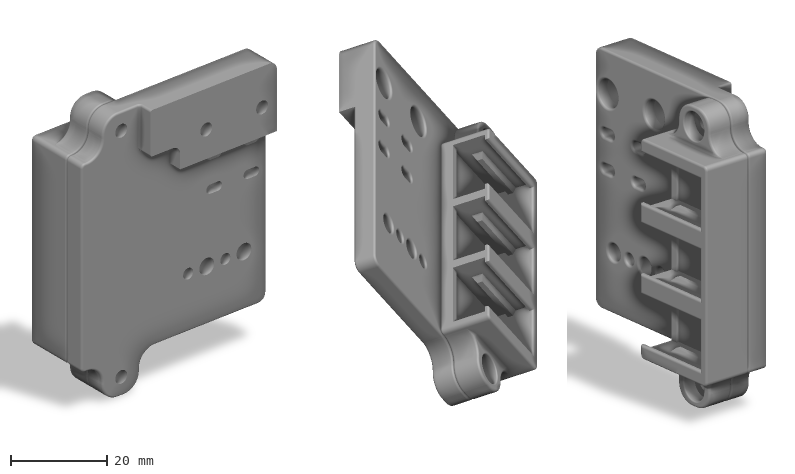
import cadquery as cq
import math


edge_round = 0.5
box_half_width = 10.65
box_half_height = 24.7
box_corner = 1.0
lug_half_width = 5.0
lug_corner = 4.2
lug_flare = 4.2
lug_length = 9.0
lug_flare_end = lug_half_width + lug_flare
top_z = box_half_height + lug_length
lug_hole_z = box_half_height + lug_length / 2
lug_hole = 3.2

box_depth = 11.55
lug_depth = 6.0
lug_head_hole = 6.5
lug_head_depth = 3.0
lug_head_round = 0.3

pocket_count = 3
pocket_pitch = 15.9
pocket_depth = 9.15
pocket_height = 14.0
pocket_end_y = -8.65
mouth_height = 11.5
mouth_lip = 0.9
sill_height = 0.6
sill_width = 1.6

ridge_height = 1.1
ridge_flank = 0.65
ridge_crest = 1.2
ridge_foot = ridge_crest + 2 * ridge_flank
ridge_setback = 4.1
ridge_start_y = 5.9

plate_depth = 5.0
plate_end_y = 39.0
plate_corner = 2.0

block_height = 3.5
full_depth = plate_depth + block_height
block_start_y = lug_half_width
block_step_y = 13.0
block_step_z = top_z - 11.0
block_bottom_z = top_z - 16.7
block_step_round = 2.0

mount_hole = 3.2
mount_head_hole = 6.5
mount_head_depth = 2.8
mount_hole_ys = (20.0, 35.0)
mount_hole_z = 24.0
slot_length = 4.2
slot_width = 2.2
slot_ys = (25.0, 35.0)
slot_zs = (7.0, 15.0)
hole_row_z = -11.0
large_hole = 4.0
large_hole_ys = (23.0, 33.0)
small_hole = 2.7
small_hole_ys = (18.0, 28.0)

clearance = 0.1
half_sine = math.sqrt(0.5)


def cuboid(x_range, y_range, z_range):
    """Block that fills the given ranges."""
    sizes = [end - start for start, end in (x_range, y_range, z_range)]
    corner = (x_range[0], y_range[0], z_range[0])
    return cq.Workplane("XY").box(*sizes, centered=False).translate(corner)


def inside(x_range, y_range, z_range):
    """Selector for what has its centre in the given ranges, or within the clearance of them."""
    ranges = (x_range, y_range, z_range)
    low = [start - clearance for start, end in ranges]
    high = [end + clearance for start, end in ranges]
    return cq.selectors.BoxSelector(low, high)


def lug(x_start, x_end, side):
    """Screw lug with flared roots, above (side = 1) or below (side = -1) the box."""
    root_z = box_half_height - box_corner
    flare_top_z = box_half_height + lug_flare
    arc_z = top_z - lug_corner
    arc_y = lug_half_width - lug_corner
    flare_middle = (lug_flare_end - lug_flare * half_sine, flare_top_z - lug_flare * half_sine)
    arc_middle = (arc_y + lug_corner * half_sine, arc_z + lug_corner * half_sine)

    def at(y, z):
        return (y, side * z)

    outline = (
        cq.Workplane("YZ", origin=(x_start, 0, 0))
        .moveTo(*at(0, root_z))
        .lineTo(*at(lug_flare_end, root_z))
        .lineTo(*at(lug_flare_end, box_half_height))
        .threePointArc(at(*flare_middle), at(lug_half_width, flare_top_z))
        .lineTo(*at(lug_half_width, arc_z))
        .threePointArc(at(*arc_middle), at(arc_y, top_z))
        .lineTo(*at(0, top_z))
    )
    return outline.mirrorY().extrude(x_end - x_start)


def x_bar(diameter, x_start, x_end, z):
    """Round bar along X, at Y = 0."""
    return cq.Workplane("YZ", origin=(x_start, 0, z)).circle(diameter / 2).extrude(x_end - x_start)


def bored(x_start, x_end, y, z, radius, mouth_radius):
    """Round hole along +X with a rounded mouth at x_start."""
    bend = mouth_radius * (1 - half_sine)
    profile = (
        cq.Workplane("XY", origin=(x_start, y, z))
        .lineTo(0, radius + mouth_radius)
        .threePointArc((bend, radius + bend), (mouth_radius, radius))
        .lineTo(x_end - x_start, radius)
        .lineTo(x_end - x_start, 0)
        .close()
    )
    return profile.revolve(360, (0, 0, 0), (1, 0, 0))


def snap_ridge(wall_z, rise):
    """Ridge on the pocket wall at wall_z, rising along +Z (rise = 1) or -Z (rise = -1)."""
    x_start = -box_depth + ridge_setback
    crest_z = rise * ridge_height
    bar = (
        cq.Workplane("XZ", origin=(x_start, ridge_start_y, wall_z))
        .lineTo(ridge_flank, crest_z)
        .lineTo(ridge_flank + ridge_crest, crest_z)
        .lineTo(ridge_foot, 0)
        .close()
        .extrude(ridge_start_y - pocket_end_y)
    )
    end_bevel = (
        cq.Workplane("YZ", origin=(x_start, ridge_start_y, wall_z))
        .lineTo(-ridge_height, crest_z)
        .lineTo(0, crest_z)
        .close()
        .extrude(ridge_foot)
    )
    return bar.cut(end_bevel)


def pocket_space(centre_z):
    """Space of one pocket: mouth between two lips, wider chamber, and a sill at the open side."""
    mouth_x = -box_depth + mouth_lip
    floor_x = -box_depth + pocket_depth
    open_y = box_half_width + clearance
    mouth_zs = (centre_z - mouth_height / 2, centre_z + mouth_height / 2)
    wall_zs = (centre_z - pocket_height / 2, centre_z + pocket_height / 2)
    mouth = cuboid((-box_depth, mouth_x), (pocket_end_y, open_y), mouth_zs)
    chamber = cuboid((mouth_x, floor_x - sill_height), (pocket_end_y, open_y), wall_zs)
    floor_ys = (pocket_end_y, box_half_width - sill_width)
    floor = cuboid((floor_x - sill_height, floor_x), floor_ys, wall_zs)
    space = mouth.union(chamber).union(floor)
    for wall_z, rise in zip(wall_zs, (1, -1)):
        space = space.cut(snap_ridge(wall_z, rise))
    return space


def make_connector_box():
    width = (-box_half_width, box_half_width)
    height = (-box_half_height, box_half_height)
    body = cuboid((-box_depth, 0), width, height).edges("|X").fillet(box_corner)

    for side, root in ((1, "<Z"), (-1, ">Z")):
        ear = lug(-lug_depth, 0, side)
        body = body.union(ear.faces("<X").edges("not " + root).fillet(edge_round))

    for index in range(pocket_count):
        centre_z = (index - (pocket_count - 1) / 2) * pocket_pitch
        body = body.cut(pocket_space(centre_z))

    body = body.faces("<X").edges().fillet(edge_round)
    body = body.faces(">X").edges().fillet(edge_round)
    lug_roots = inside((-lug_depth, -lug_depth), (0, 0), height)
    body = body.edges("|Y").edges(lug_roots).fillet(edge_round)

    head_end = -lug_depth + lug_head_depth
    for z in (-lug_hole_z, lug_hole_z):
        body = body.cut(x_bar(lug_hole, -lug_depth, 0, z))
        body = body.cut(bored(-lug_depth, head_end, 0, z, lug_head_hole / 2, lug_head_round))
    return body


def raised_block():
    """Block on the plate's back, with rounded step corners."""
    block = (
        cq.Workplane("YZ", origin=(plate_depth, 0, 0))
        .moveTo(block_start_y, top_z)
        .lineTo(plate_end_y, top_z)
        .lineTo(plate_end_y, block_bottom_z)
        .lineTo(block_step_y, block_bottom_z)
        .lineTo(block_step_y, block_step_z)
        .lineTo(block_start_y, block_step_z)
        .close()
        .extrude(block_height)
    )
    block = block.edges("|X and >Y and >Z").fillet(plate_corner)
    block_depth = (plate_depth, full_depth)
    step = inside(block_depth, (block_step_y, block_step_y), (block_step_z, block_step_z))
    return block.edges("|X").edges(step).fillet(block_step_round)


def mount_screw_hole(y):
    """Mounting screw hole: rounded head hole, 45 degree cone, screw hole."""
    head = mount_head_hole / 2
    screw = mount_hole / 2
    cone_end = mount_head_depth + head - screw
    hole = bored(0, mount_head_depth, y, mount_hole_z, head, edge_round)
    profile = (
        cq.Workplane("XY", origin=(0, y, mount_hole_z))
        .lineTo(0, head)
        .lineTo(mount_head_depth, head)
        .lineTo(cone_end, screw)
        .lineTo(full_depth, screw)
        .lineTo(full_depth, 0)
        .close()
    )
    return hole.union(profile.revolve(360, (0, 0, 0), (1, 0, 0)))


def make_plate():
    back = (plate_depth, plate_depth)
    panel = cuboid((0, plate_depth), (0, plate_end_y), (-box_half_height, top_z))
    panel = panel.edges("|X and >Y").fillet(plate_corner)
    height = (-box_half_height, box_half_height)
    behind_box = cuboid((0, plate_depth), (-box_half_width, box_half_width), height)
    body = panel.union(behind_box.edges("|X and <Y").fillet(box_corner))
    for side in (1, -1):
        body = body.union(lug(0, plate_depth, side))
    body = body.union(raised_block()).clean()

    block_side = inside(back, (block_start_y, block_start_y), (block_step_z, top_z))
    body = body.edges("|Z").edges(block_side).fillet(edge_round)
    body = body.faces("<X").edges().fillet(edge_round)
    block_ys = (block_start_y - edge_round, plate_end_y - plate_corner)
    around_block = inside(back, block_ys, (block_bottom_z, top_z))
    whole_back = inside(back, (-box_half_width, plate_end_y), (-top_z, top_z))
    back_edges = body.faces(whole_back).edges()
    body = back_edges.edges(whole_back - around_block).fillet(edge_round)
    block_corner = inside(
        (plate_depth + edge_round, full_depth - edge_round),
        (block_start_y, block_start_y),
        (block_step_z, block_step_z),
    )
    body = body.edges("|X").edges(block_corner).fillet(edge_round)

    for z in (-lug_hole_z, lug_hole_z):
        body = body.cut(x_bar(lug_hole, 0, plate_depth, z))

    for y in mount_hole_ys:
        body = body.cut(mount_screw_hole(y))

    for diameter, ys in ((large_hole, large_hole_ys), (small_hole, small_hole_ys)):
        for y in ys:
            body = body.cut(bored(0, full_depth, y, hole_row_z, diameter / 2, edge_round))

    slot_places = [(y, z) for y in slot_ys for z in slot_zs]
    slots = cq.Workplane("YZ").pushPoints(slot_places).slot2D(slot_length, slot_width).extrude(full_depth)
    body = body.cut(slots)
    slot_mouths = inside(
        (0, 0),
        (slot_ys[0] - slot_length, slot_ys[1] + slot_length / 2),
        (slot_zs[0] - slot_width, slot_zs[1] + slot_width),
    )
    return body.faces("<X").edges(slot_mouths).fillet(edge_round)


connector_box = make_connector_box()
plate = make_plate()
result = cq.Compound.makeCompound([connector_box.val(), plate.val()])